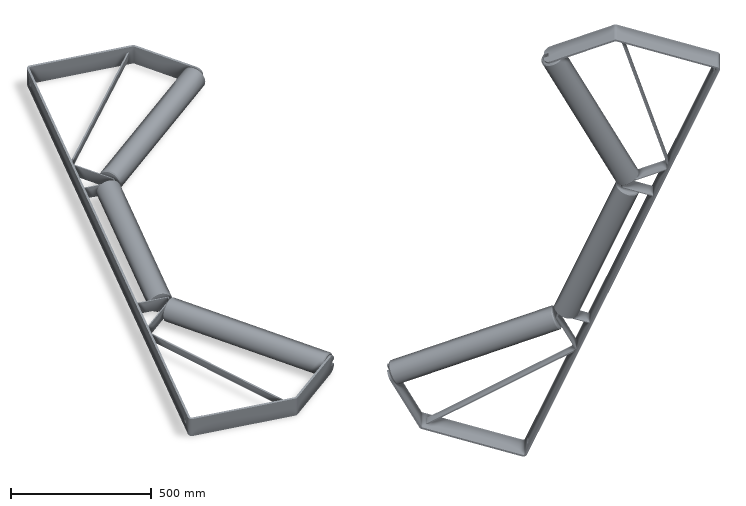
import cadquery as cq
import math


frame_length = 2000.0
side_height = 400.0
bar_height = 80.0
bar_thickness = 8.0
bend_inner_radius = 5.0
bend_outer_radius = bend_inner_radius + bar_thickness
tip_past_axle = 28.0
tip_corner_radius = 25.0

mount_slot_width = 18.0
mount_slot_height = 30.0
mount_slot_inset = 48.0

drum_diameter = 90.0
drum_length = 640.0
drum_chamfer = 5.0
axle_diameter = 25.0
axle_square = 18.0
support_span = 648.0
middle_axle_y = 100.0
wing_axis_x = -245.0
wing_angle = 45.0

bracket_height = 50.0
bracket_thickness = 5.0

brace_height = 30.0
brace_thickness = 5.0
brace_side_y = 380.0
brace_foot_x = -475.0

half_length = frame_length / 2
side_inner_x = -half_length + bar_thickness
post_right_x = -support_span / 2
post_left_x = post_right_x - bracket_thickness

diagonal = math.sqrt(2)
arm_offset = half_length + side_height
wing_start_x = (wing_axis_x - arm_offset) / 2
wing_start_y = wing_axis_x - wing_start_x


def on_wing_axis(body):
    """Move a body along +X from the origin onto the left wing axis, from the arm's outer face."""
    turned = body.rotate((0, 0, 0), (0, 0, 1), -wing_angle)
    return turned.translate((wing_start_x, wing_start_y, 0))


def on_middle_axis(body):
    """Move a body lying along +X from the origin onto the middle axis, starting at the left post."""
    return body.translate((post_left_x, middle_axle_y, 0))


def mirrored(body):
    """The same body on the +X side."""
    return body.mirror("YZ")


def upright(points, height):
    """A closed outline in XY, extruded to a height centred on Z = 0."""
    return cq.Workplane("XY").polyline(points).close().extrude(height / 2, both=True)


def square_shaft(length):
    return cq.Workplane("YZ").rect(axle_square, axle_square).extrude(length)


def make_roller(near_support, far_support):
    """A roller along +X whose axle ends fill the thicknesses of its two supports."""
    end_gap = (support_span - drum_length) / 2
    drum = cq.Workplane("YZ").workplane(offset=near_support + end_gap)
    drum = drum.circle(drum_diameter / 2).extrude(drum_length).edges().chamfer(drum_chamfer)
    axle = cq.Workplane("YZ").workplane(offset=near_support)
    axle = axle.circle(axle_diameter / 2).extrude(support_span)
    return drum.union(axle).union(square_shaft(near_support + support_span + far_support))


def make_brace():
    """The left brace, whose upper end passes through the side and is flush with its outer face."""
    run = brace_foot_x - side_inner_x
    drop = brace_side_y - bar_thickness
    length = math.hypot(run, drop)
    upper_y = brace_side_y + bar_thickness * drop / run
    upright_width = brace_thickness * length / run
    foot_width = brace_thickness * length / drop
    outline = [
        (-half_length, upper_y),
        (brace_foot_x, bar_thickness),
        (brace_foot_x - foot_width, bar_thickness),
        (-half_length, upper_y - upright_width),
    ]
    return upright(outline, brace_height)


def make_bracket():
    """The left bracket, with a square hole in its post and one in its leg for the axle ends."""
    top = middle_axle_y + tip_past_axle
    under = top - bracket_thickness
    leg_left = diagonal * (bar_thickness + support_span) - arm_offset
    leg_right = leg_left + diagonal * bracket_thickness
    outline = [
        (post_right_x, bar_thickness),
        (post_right_x, top),
        (top + leg_left, top),
        (bar_thickness + leg_left, bar_thickness),
        (bar_thickness + leg_right, bar_thickness),
        (under + leg_right, under),
        (post_left_x, under),
        (post_left_x, bar_thickness),
    ]
    bracket = upright(outline, bracket_height)
    bracket = bracket.cut(on_middle_axis(square_shaft(bracket_thickness)))
    return bracket.cut(on_wing_axis(square_shaft(bar_thickness + support_span + bracket_thickness)))


def bend(frame, corner, radius):
    """Round the upright edge at a corner of the bar."""
    x, y = corner
    return frame.edges("|Z").edges(cq.NearestToPointSelector((x, y, 0))).fillet(radius)


def make_bent_bar():
    tip_x = wing_start_x + tip_past_axle / diagonal
    tip_y = tip_x + arm_offset
    tip_step = bar_thickness / diagonal
    knee_step = bar_thickness * math.tan(math.radians(wing_angle / 2))
    outer = [(tip_x, tip_y), (-half_length, side_height), (-half_length, 0)]
    inner = [
        (side_inner_x, bar_thickness),
        (side_inner_x, side_height - knee_step),
        (tip_x + tip_step, tip_y - tip_step),
    ]
    outline = outer + [(-x, y) for x, y in outer[::-1] + inner[::-1]] + inner
    bar = upright(outline, bar_height)
    for side in (-1, 1):
        for x, y in outer[1:]:
            bar = bend(bar, (side * x, y), bend_outer_radius)
        for x, y in inner[:-1]:
            bar = bend(bar, (side * x, y), bend_inner_radius)
        for z in (-bar_height / 2, bar_height / 2):
            corner = (side * (tip_x + tip_step / 2), tip_y - tip_step / 2, z)
            bar = bar.edges(cq.NearestToPointSelector(corner)).fillet(tip_corner_radius)
    return bar


def make_frame():
    bar = make_bent_bar()

    mount_x = half_length - mount_slot_inset
    mounts = cq.Workplane("XZ").pushPoints([(-mount_x, 0), (mount_x, 0)])
    bar = bar.cut(mounts.slot2D(mount_slot_height, mount_slot_width, 90).extrude(-bar_thickness))

    axle_slot_length = tip_past_axle + axle_square / 2
    axle_slot = cq.Workplane("XY").box(
        bar_thickness, axle_slot_length, axle_square, centered=(False, False, True)
    )
    axle_slot = on_wing_axis(axle_slot.translate((0, -axle_square / 2, 0)))
    for cutter in (axle_slot, make_brace()):
        bar = bar.cut(cutter).cut(mirrored(cutter))
    return bar


frame = make_frame()
middle_roller = on_middle_axis(make_roller(bracket_thickness, bracket_thickness))
wing_roller = on_wing_axis(make_roller(bar_thickness, bracket_thickness))
bracket = make_bracket()
brace = make_brace()

bodies = [frame, middle_roller]
for left_body in (wing_roller, bracket, brace):
    bodies += [left_body, mirrored(left_body)]

result = cq.Compound.makeCompound([body.val() for body in bodies])